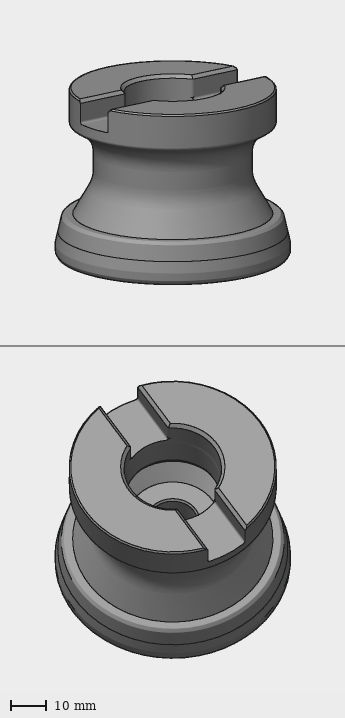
import cadquery as cq
import math

total_height = 50.0
base_radius = 32.95
head_radius = 29.0
neck_radius = 44.6 / 2

base_foot_radius = 24.65
foot_chamfer_radius = 32.35
foot_chamfer_bottom = 1.65
foot_chamfer_top = 2.8
base_cylinder_top = 5.0
rim_chamfer_outer_radius = 31.15
rim_chamfer_inner_radius = 30.3
rim_chamfer_bottom = 12.7
base_top = 13.6
sharp_edge_fillet = 0.3
foot_fillet = 0.9
base_side_fillet = 1.0

ring_top = 8.3
ring_inner_radius = 27.9

lower_flare_radius = 10.0
lower_flare_angle = math.radians(30)
neck_bottom = 26.15
neck_top = 31.55
upper_flare_radius = 7.5
upper_flare_angle = math.radians(60)

head_lower_fillet = 1.0
head_top_chamfer = 0.45

slot_width = 12.25
slot_depth = 7.0
slot_edge_chamfer = 1.0
slot_floor_fillet = 0.7

bore_entry_radius = 27.2 / 2
bore_radius = 27.0 / 2
bore_chamfer = 1.0
bore_taper_top = 42.55
bore_taper_height = 1.05
bore_corner_fillet = 0.9
bore_bottom = 33.1
relief_radius = 15.35
relief_bottom = 29.85
relief_land = 0.3
cavity_radius = 18.45
cavity_shoulder = 26.8
cavity_floor_radius = 13.1
cavity_floor = 22.4
hole_radius = 14.0 / 2
hole_chamfer = 0.5

slot_floor = total_height - slot_depth


def revolve_about_z(outline):
    """Turn a closed outline of (radius, height) points into a solid of revolution."""
    return outline.close().revolve(360, (0, 0, 0), (0, 1, 0))


def circle_at(height):
    """Selector for the circular edges centred on the axis at one height."""
    reach = 2 * base_radius
    margin = 0.05
    return cq.selectors.BoxSelector((-reach, -reach, height - margin), (reach, reach, height + margin))


def base_envelope():
    """Flange outline: shallow cone underneath, short cylinder, tapered side, softened chamfers."""
    outline = (
        cq.Workplane("XZ")
        .lineTo(base_foot_radius, 0)
        .lineTo(foot_chamfer_radius, foot_chamfer_bottom)
        .lineTo(base_radius, foot_chamfer_top)
        .lineTo(base_radius, base_cylinder_top)
        .lineTo(rim_chamfer_outer_radius, rim_chamfer_bottom)
        .lineTo(rim_chamfer_inner_radius, base_top)
        .lineTo(0, base_top)
    )
    flange = revolve_about_z(outline)
    edge_fillets = [
        (foot_chamfer_bottom, foot_fillet),
        (foot_chamfer_top, sharp_edge_fillet),
        (base_cylinder_top, base_side_fillet),
        (rim_chamfer_bottom, sharp_edge_fillet),
        (base_top, sharp_edge_fillet),
    ]
    for height, radius in edge_fillets:
        flange = flange.edges(circle_at(height)).fillet(radius)
    return flange


def ring_zone():
    """Space under the flange that belongs to the ring."""
    return (
        cq.Workplane("XY")
        .circle(2 * base_radius)
        .circle(ring_inner_radius)
        .extrude(ring_top)
    )


def lower_flare_point(angle):
    """Radius and height on the lower flare arc, at an angle below its tangent with the neck."""
    radius = neck_radius + lower_flare_radius * (1 - math.cos(angle))
    return radius, neck_bottom - lower_flare_radius * math.sin(angle)


def upper_flare_point(angle):
    """Radius and height on the upper flare arc, at an angle above its tangent with the neck."""
    radius = neck_radius + upper_flare_radius * (1 - math.cos(angle))
    return radius, neck_top + upper_flare_radius * math.sin(angle)


def neck_and_head():
    """Flared neck and the flat-topped head, standing on the flange."""
    flare_start_r, flare_start_z = lower_flare_point(lower_flare_angle)
    foot_r = flare_start_r + (flare_start_z - base_top) * math.tan(lower_flare_angle)
    throat_end_r, throat_end_z = upper_flare_point(upper_flare_angle)
    head_bottom = throat_end_z + (head_radius - throat_end_r) / math.tan(upper_flare_angle)

    outline = (
        cq.Workplane("XZ")
        .moveTo(0, base_top)
        .lineTo(foot_r, base_top)
        .lineTo(flare_start_r, flare_start_z)
        .threePointArc(lower_flare_point(lower_flare_angle / 2), (neck_radius, neck_bottom))
        .lineTo(neck_radius, neck_top)
        .threePointArc(upper_flare_point(upper_flare_angle / 2), (throat_end_r, throat_end_z))
        .lineTo(head_radius, head_bottom)
        .lineTo(head_radius, total_height)
        .lineTo(0, total_height)
    )
    body = revolve_about_z(outline)
    body = body.faces(">Z").edges().chamfer(head_top_chamfer)
    return body.edges(circle_at(head_bottom)).fillet(head_lower_fillet)


def slot_cutter():
    """Slot with a rounded floor and chamfered upper edges."""
    half = slot_width / 2
    slot = (
        cq.Workplane("XY", origin=(0, 0, slot_floor))
        .rect(slot_width, 2 * base_radius)
        .extrude(slot_depth)
        .faces("<Z")
        .edges("|Y")
        .fillet(slot_floor_fillet)
    )
    mouth = (
        cq.Workplane("XZ", origin=(0, base_radius, 0))
        .moveTo(-half, total_height - slot_edge_chamfer)
        .lineTo(half, total_height - slot_edge_chamfer)
        .lineTo(half + slot_edge_chamfer, total_height)
        .lineTo(-half - slot_edge_chamfer, total_height)
        .close()
        .extrude(2 * base_radius)
    )
    return slot.union(mouth)


def bore_cutter():
    """Stepped bore: chamfered entry, main bore, relief, cavity and through hole."""
    outline = (
        cq.Workplane("XZ")
        .lineTo(hole_radius, 0)
        .lineTo(hole_radius, cavity_floor - hole_chamfer)
        .lineTo(hole_radius + hole_chamfer, cavity_floor)
        .lineTo(cavity_floor_radius, cavity_floor)
        .lineTo(cavity_radius, cavity_shoulder)
        .lineTo(relief_radius, relief_bottom - relief_land)
        .lineTo(relief_radius, relief_bottom)
        .lineTo(bore_radius, bore_bottom)
        .lineTo(bore_radius, bore_taper_top - bore_taper_height)
        .lineTo(bore_entry_radius, bore_taper_top)
        .lineTo(bore_entry_radius, total_height - bore_chamfer)
        .lineTo(bore_entry_radius + bore_chamfer, total_height)
        .lineTo(0, total_height)
    )
    return revolve_about_z(outline)


def corner_cutter():
    """Four slivers that round the upright edges where the slot walls meet the bore."""
    rounding_bottom = slot_floor + slot_floor_fillet
    rounding_height = total_height - rounding_bottom
    sketch_plane = cq.Workplane("XY", origin=(0, 0, rounding_bottom))
    bore_core = sketch_plane.circle(bore_entry_radius).extrude(rounding_height)
    slot_core = sketch_plane.rect(slot_width, 2 * bore_radius + slot_width).extrude(rounding_height)
    rounded = slot_core.union(bore_core)
    meeting_edges = cq.selectors.BoxSelector(
        (-bore_radius, -bore_radius, rounding_bottom),
        (bore_radius, bore_radius, total_height),
    )
    rounded = rounded.edges("|Z").edges(meeting_edges).fillet(bore_corner_fillet)
    return rounded.cut(slot_core).cut(bore_core)


def make_ring():
    """Outer ring that completes the flange below its stepped seat."""
    return base_envelope().intersect(ring_zone()).solids()


def make_spool():
    """Main body: flange without the ring, neck and head, with the bore and the slot cut in."""
    blank = base_envelope().cut(ring_zone()).union(neck_and_head())
    return blank.cut(bore_cutter()).cut(slot_cutter()).cut(corner_cutter()).solids()


spool = make_spool()
ring = make_ring()

result = cq.Compound.makeCompound([spool.val(), ring.val()])